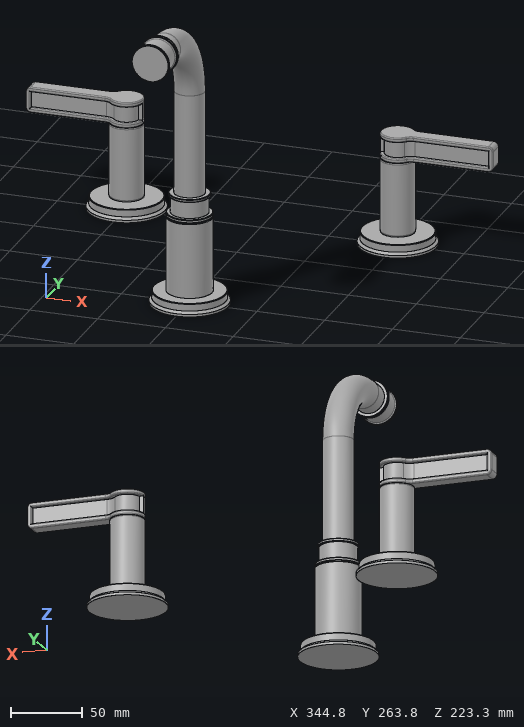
import cadquery as cq
import math

overall_width = 344.81
spout_height = 223.27
handle_offset_x = 100.0
handle_offset_y = 152.4

base_radius = 28.5
base_rim_height = 2.0
base_step_radius = 26.5
base_cone_top = 3.8
base_height = 9.3
base_edge_chamfer = 0.5

column_radius = 16.6
column_top = 68.0
column_edge_chamfer = 0.5
column_groove_centre = 65.3
column_groove_height = 1.4
column_groove_depth = 0.3
neck_radius = 13.6
neck_flange_radius = 14.8
neck_flange_thickness = 2.2
neck_top = 82.5

tube_radius = 11.1
bend_radius = 50.8
tube_axis_height = 209.6
nozzle_start = 62.3

spout_reach = 82.88
nozzle_radius = 12.3
nozzle_flange_radius = spout_height - tube_axis_height
nozzle_rear_flange_thickness = 3.0
nozzle_front_flange_thickness = 2.2
flange_edge_chamfer = 0.4
nozzle_joint_fillet = 0.8

post_radius = 12.5
post_end_relief = 0.3
post_end_relief_height = 1.0
lever_bottom = 64.5
lever_top = 83.5
lever_reach = overall_width / 2 - handle_offset_x
lever_half_width = 6.2
lever_blend_radius = 6.0
lever_tip_radius = 3.5
lever_edge_fillet = 0.8
recess_depth = 3.0
recess_rim = 3.4
recess_edge_fillet = 0.8
web_half_width = 1.7

pick_margin = 0.1


def base_plate():
    """Stepped disc with a conical shoulder above its rim."""
    profile = [
        (0, 0),
        (base_radius, 0),
        (base_radius, base_rim_height),
        (base_step_radius, base_cone_top),
        (base_step_radius, base_height - base_edge_chamfer),
        (base_step_radius - base_edge_chamfer, base_height),
        (0, base_height),
    ]
    return cq.Workplane("XZ").polyline(profile).close().revolve(360, (0, 0), (0, 1))


def cylinder(radius, bottom, top):
    return cq.Workplane("XY").workplane(offset=bottom).circle(radius).extrude(top - bottom)


def nozzle_disc(radius, start, end):
    """Disc on the horizontal end of the tube, between two distances from the column axis."""
    return (
        cq.Workplane("XZ", origin=(0, -start, tube_axis_height))
        .circle(radius)
        .extrude(end - start)
    )


def make_column():
    """Plain cylinder with a shallow V groove just below its top edge."""
    column = cylinder(column_radius, base_height, column_top)
    column = column.faces(">Z").edges().chamfer(column_edge_chamfer)
    groove = (
        cq.Workplane("XZ")
        .moveTo(column_radius, column_groove_centre - column_groove_height / 2)
        .lineTo(column_radius - column_groove_depth, column_groove_centre)
        .lineTo(column_radius, column_groove_centre + column_groove_height / 2)
        .close()
        .revolve(360, (0, 0), (0, 1))
    )
    return column.cut(groove)


def make_neck():
    neck = cylinder(neck_radius, column_top, neck_top)
    flange = cylinder(neck_flange_radius, neck_top - neck_flange_thickness, neck_top)
    return neck.union(flange.edges().chamfer(flange_edge_chamfer))


def make_tube():
    """Round tube rising from the neck and bending a quarter turn towards -Y."""
    bend_start = tube_axis_height - bend_radius
    bend_mid = bend_radius * math.sin(math.pi / 4)
    path = (
        cq.Workplane("YZ")
        .moveTo(0, neck_top)
        .lineTo(0, bend_start)
        .threePointArc((bend_mid - bend_radius, bend_start + bend_mid), (-bend_radius, tube_axis_height))
        .lineTo(-nozzle_start, tube_axis_height)
    )
    return cq.Workplane("XY", origin=(0, 0, neck_top)).circle(tube_radius).sweep(path)


def make_nozzle():
    """Barrel between two flanges, with a small fillet where it meets each flange."""
    rear_end = nozzle_start + nozzle_rear_flange_thickness
    front_start = spout_reach - nozzle_front_flange_thickness
    nozzle = nozzle_disc(nozzle_radius, rear_end, front_start)
    for start, end in ((nozzle_start, rear_end), (front_start, spout_reach)):
        flange = nozzle_disc(nozzle_flange_radius, start, end)
        nozzle = nozzle.union(flange.edges().chamfer(flange_edge_chamfer))
    return nozzle.edges(cq.selectors.RadiusNthSelector(0)).fillet(nozzle_joint_fillet)


def make_spout():
    spout = base_plate()
    for piece in (make_column(), make_neck(), make_tube(), make_nozzle()):
        spout = spout.union(piece)
    return spout


def lever_plan(inset, tip, bottom, top):
    """Round hub blending into a straight arm along +X, with its sides moved in by the inset."""
    hub = post_radius - inset
    half_width = lever_half_width - inset
    blend = lever_blend_radius + inset

    blend_y = half_width + blend
    blend_x = math.sqrt((hub + blend) ** 2 - blend_y**2)
    hub_x = blend_x * hub / (hub + blend)
    hub_y = blend_y * hub / (hub + blend)
    mid_angle = (math.atan2(-blend_y, -blend_x) - math.pi / 2) / 2
    mid_x = blend_x + blend * math.cos(mid_angle)
    mid_y = blend_y + blend * math.sin(mid_angle)

    return (
        cq.Workplane("XY")
        .workplane(offset=bottom)
        .moveTo(hub_x, hub_y)
        .threePointArc((mid_x, mid_y), (blend_x, half_width))
        .lineTo(tip, half_width)
        .lineTo(tip, -half_width)
        .lineTo(blend_x, -half_width)
        .threePointArc((mid_x, -mid_y), (hub_x, -hub_y))
        .threePointArc((-hub, 0), (hub_x, hub_y))
        .close()
        .extrude(top - bottom)
    )


def round_edges_in_box(solid, low_corner, high_corner):
    """Fillet the recess edges whose centres lie inside the box."""
    return solid.edges(cq.selectors.BoxSelector(low_corner, high_corner)).fillet(recess_edge_fillet)


def make_lever():
    """Lever with a rimmed recess in each side; a web joins the rims at the back of the hub."""
    body = lever_plan(0, lever_reach, lever_bottom, lever_top)
    body = body.faces(">X").edges("|Y").fillet(lever_tip_radius)
    body = body.faces(">Z").edges("|X").fillet(lever_edge_fillet)

    recess_bottom = lever_bottom + recess_rim
    recess_top = lever_top - recess_rim
    recess_height = recess_top - recess_bottom
    recess_end = lever_reach - recess_rim
    band = (
        cq.Workplane("XY", origin=(0, 0, recess_bottom))
        .rect(2 * recess_end, 4 * post_radius)
        .extrude(recess_height)
    )
    core = lever_plan(recess_depth, recess_end, recess_bottom, recess_top)
    web = (
        cq.Workplane("XY", origin=(-post_radius, 0, recess_bottom))
        .rect(2 * post_radius, 2 * web_half_width)
        .extrude(recess_height)
    )
    lever = body.cut(band.cut(core.union(web)))

    for side in (-1, 1):
        wall = side * lever_half_width
        lever = round_edges_in_box(
            lever,
            (post_radius, wall - pick_margin, recess_bottom - pick_margin),
            (recess_end + pick_margin, wall + pick_margin, recess_top + pick_margin),
        )
    return lever


def make_handle():
    """Base plate, post with slightly tapered ends, and lever, standing at the origin."""
    post = (
        cq.Workplane("XY", origin=(0, 0, base_height))
        .circle(post_radius)
        .extrude(lever_bottom - base_height)
        .edges("%CIRCLE")
        .chamfer(post_end_relief_height, post_end_relief)
    )
    return base_plate().union(post).union(make_lever())


spout = make_spout()
right_handle = make_handle().translate((handle_offset_x, handle_offset_y, 0))
left_handle = right_handle.mirror("YZ")

result = cq.Compound.makeCompound([spout.val(), right_handle.val(), left_handle.val()])